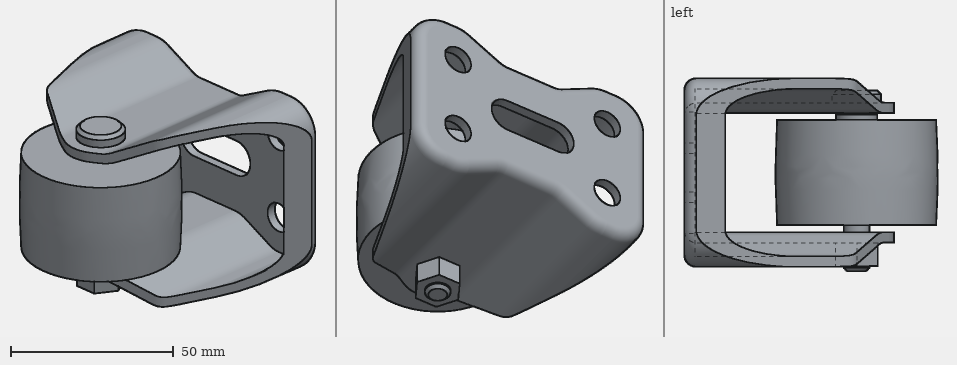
import cadquery as cq
import math

plate_width = 85.0
plate_height = 58.0
thickness = 3.2
back_edge_radius = 3.7
corner_radius = 11.2
shoulder_x = 24.7
waist_x = 9.95
waist_height = 43.0
waist_radius = 6.8

axle_y = -52.95
wheel_height = 32.3
wheel_edge_radius = 24.5
wheel_crown_radius = 25.0

side_taper = math.radians(20)
nose_slope = math.radians(30)
nose_radius = 11.6
side_corner_radius = 5.8

mount_hole_diameter = 9.5
mount_spacing_x = 54.9
mount_spacing_z = 27.9
slot_length = 30.3
slot_height = 11.7

axle_radius = 4.0
washer_radius = 6.4
washer_thickness = 1.6
head_radius = 7.6
head_height = 3.7
head_chamfer = 1.2
nut_corner_diameter = 15.1
nut_height = 7.2
axle_tip_length = 1.6
axle_tip_chamfer = 1.1

waist_z = waist_height / 2
nose_tip_y = axle_y - nose_radius


def cylinder(radius, bottom, top):
    """Cylinder on the axle axis between two heights."""
    return cq.Workplane("XY", origin=(0, axle_y, bottom)).circle(radius).extrude(top - bottom)


def channel():
    """Bow-tie section drawn forward from the back plate, hollowed from the front."""
    half_width = plate_width / 2
    half_height = plate_height / 2
    quarter = [(waist_x, waist_z), (shoulder_x, half_height), (half_width, half_height)]
    right_half = quarter + [(x, -z) for x, z in reversed(quarter)]
    left_half = [(-x, z) for x, z in reversed(right_half)]
    depth = -nose_tip_y
    block = cq.Workplane("XZ").polyline(right_half + left_half).close().extrude(depth)

    def beside_waist(edge):
        return abs(edge.Center().x) < (waist_x + shoulder_x) / 2

    block = block.edges("|Y").filter(beside_waist).fillet(waist_radius)
    block = block.edges("|Y").filter(lambda edge: not beside_waist(edge)).fillet(corner_radius)

    front_rim = block.faces("<Y").wires().toPending()
    hollow = front_rim.offset2D(-thickness).extrude(-(depth - thickness), combine=False)
    return block.faces(">Y").edges().fillet(back_edge_radius).cut(hollow)


def arm_outline():
    """Tall prism with the tapered, round-nosed outline that trims the channel."""
    half_width = plate_width / 2
    taper_start_y = -back_edge_radius
    apex_y = axle_y - nose_radius / math.cos(nose_slope)
    side_corner_x = (
        (half_width - (taper_start_y - apex_y) * math.tan(side_taper))
        / (1 - math.tan(nose_slope) * math.tan(side_taper))
    )
    side_corner_y = apex_y + side_corner_x * math.tan(nose_slope)
    prism = (
        cq.Workplane("XY")
        .moveTo(half_width, 0)
        .lineTo(half_width, taper_start_y)
        .lineTo(side_corner_x, side_corner_y)
        .lineTo(0, apex_y)
        .lineTo(-side_corner_x, side_corner_y)
        .lineTo(-half_width, taper_start_y)
        .lineTo(-half_width, 0)
        .close()
        .extrude(plate_height / 2, both=True)
    )
    prism = prism.edges("|Z and <Y").fillet(nose_radius)

    def at_side_corner(edge):
        return abs(edge.Center().y - side_corner_y) < side_corner_radius / 2

    return prism.edges("|Z").filter(at_side_corner).fillet(side_corner_radius)


def back_plate_openings():
    """Four mounting holes and a central slot, as cutters through the back plate."""
    holes = (
        cq.Workplane("XZ")
        .rect(mount_spacing_x, mount_spacing_z, forConstruction=True)
        .vertices()
        .circle(mount_hole_diameter / 2)
        .extrude(thickness)
    )
    slot = cq.Workplane("XZ").slot2D(slot_length, slot_height).extrude(thickness)
    return holes.union(slot)


def wheel():
    """Solid roller with a slightly crowned tread."""
    half_height = wheel_height / 2
    return (
        cq.Workplane("XZ", origin=(0, axle_y, 0))
        .moveTo(0, -half_height)
        .lineTo(wheel_edge_radius, -half_height)
        .threePointArc((wheel_crown_radius, 0), (wheel_edge_radius, half_height))
        .lineTo(0, half_height)
        .close()
        .revolve(360, (0, 0, 0), (0, 1, 0))
    )


def axle_bolt():
    """Axle with its head on the upper arm, a washer on the wheel and a nut below."""
    nut_bottom = -waist_z - nut_height
    shaft = cylinder(axle_radius, nut_bottom - axle_tip_length, waist_z)
    shaft = shaft.faces("<Z").chamfer(axle_tip_chamfer)
    head = cylinder(head_radius, waist_z, waist_z + head_height).faces(">Z").chamfer(head_chamfer)
    washer = cylinder(washer_radius, wheel_height / 2, wheel_height / 2 + washer_thickness)
    nut = (
        cq.Workplane("XY", origin=(0, axle_y, nut_bottom))
        .polygon(6, nut_corner_diameter)
        .extrude(nut_height)
    )
    return shaft.union(head).union(washer).union(nut)


bracket = channel().intersect(arm_outline()).cut(back_plate_openings())
result = bracket.union(wheel()).union(axle_bolt())